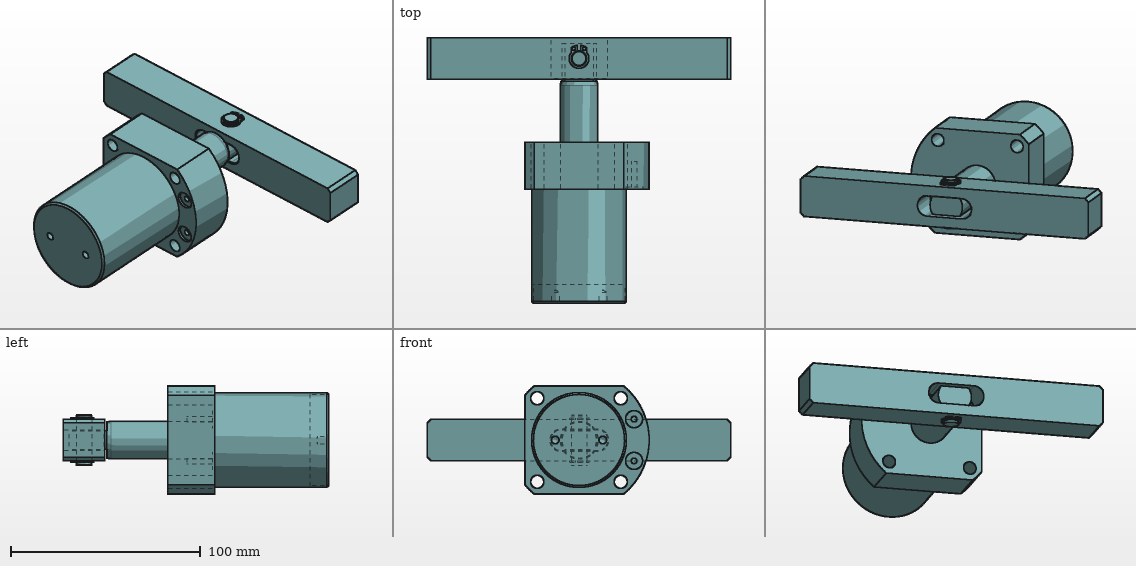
import cadquery as cq
import math


flange_height = 57.0
flange_thickness = 25.0
flange_radius = 37.0
barrel_diameter = 50.0
barrel_length = 60.0
barrel_chamfer = 1.0

bolt_hole_diameter = 6.8
bolt_hole_offset = 22.0
port_x = 29.0
port_z = 11.0
port_seat_diameter = 9.0
port_seat_depth = 1.5
port_diameter = 3.0
port_depth = 15.0

cap_thickness = 10.0
spanner_hole_diameter = 4.0
spanner_hole_offset = 12.5
spanner_hole_depth = 6.0
drill_point_angle = 118.0

rod_diameter = 20.0
rod_extension = 33.0
rod_shoulder_gap = 1.0
rod_taper_length = 2.0
rod_taper_depth = 0.5
tang_diameter = 18.0
tang_thickness = 10.0
tang_beyond_pin = 8.0

bar_length = 160.0
bar_width = 22.0
bar_chamfer = 2.0
slot_length = 30.0
slot_height = 11.0
slot_chamfer = 0.5

pin_diameter = 8.0
pin_length = 26.4
pin_end_chamfer = 0.3
ring_thickness = 0.8
ring_inner_diameter = 7.6
ring_outer_diameter = 10.4
lug_radius = 7.0
lug_outer_x = 4.2
lug_hole_diameter = 1.8
lug_hole_x = 2.8
lug_hole_y = 5.2
ring_gap = 1.6

barrel_end_y = -barrel_length
bar_front_y = flange_thickness + rod_extension
pin_y = bar_front_y + bar_width / 2
rod_tip_y = bar_front_y - rod_shoulder_gap
tang_end_y = pin_y + tang_beyond_pin
cap_diameter = barrel_diameter - 2 * barrel_chamfer
ring_start_heights = (bar_width / 2, -bar_width / 2 - ring_thickness)


def rod_along_y(diameter, start_y, end_y, x=0.0, z=0.0):
    """Round bar parallel to Y between two Y positions."""
    return cq.Workplane(
        cq.Solid.makeCylinder(
            diameter / 2, end_y - start_y, cq.Vector(x, start_y, z), cq.Vector(0, 1, 0)
        )
    )


def rod_along_z(diameter, start_z, end_z):
    """Round bar parallel to Z on the pin axis."""
    return cq.Workplane("XY", origin=(0, pin_y, start_z)).circle(diameter / 2).extrude(end_z - start_z)


def make_flange():
    """Disc trimmed flat at the top, the bottom and the -X side."""
    disc = rod_along_y(2 * flange_radius, 0, flange_thickness)
    trim_length = flange_height / 2 + flange_radius
    trim = (
        cq.Workplane("XY")
        .box(trim_length, flange_thickness, flange_height, centered=(False, False, True))
        .translate((-flange_height / 2, 0, 0))
    )
    return disc.intersect(trim)


def make_housing():
    barrel = rod_along_y(barrel_diameter, barrel_end_y, 0).faces("<Y").chamfer(barrel_chamfer)
    housing = make_flange().union(barrel)
    for x in (-bolt_hole_offset, bolt_hole_offset):
        for z in (-bolt_hole_offset, bolt_hole_offset):
            housing = housing.cut(rod_along_y(bolt_hole_diameter, 0, flange_thickness, x, z))
    for z in (-port_z, port_z):
        housing = housing.cut(rod_along_y(port_seat_diameter, 0, port_seat_depth, port_x, z))
        housing = housing.cut(rod_along_y(port_diameter, 0, port_depth, port_x, z))
    housing = housing.cut(rod_along_y(cap_diameter, barrel_end_y, barrel_end_y + cap_thickness))
    return housing.cut(rod_along_y(rod_diameter, 0, flange_thickness))


def make_end_cap():
    """Flush disc with two drilled holes for a pin spanner."""
    cap = rod_along_y(cap_diameter, barrel_end_y, barrel_end_y + cap_thickness)
    hole_radius = spanner_hole_diameter / 2
    hole_bottom_y = barrel_end_y + spanner_hole_depth
    point_length = hole_radius / math.tan(math.radians(drill_point_angle / 2))
    for x in (-spanner_hole_offset, spanner_hole_offset):
        cap = cap.cut(rod_along_y(spanner_hole_diameter, barrel_end_y, hole_bottom_y, x))
        drill_point = cq.Solid.makeCone(
            hole_radius, 0, point_length, cq.Vector(x, hole_bottom_y, 0), cq.Vector(0, 1, 0)
        )
        cap = cap.cut(cq.Workplane(drill_point))
    return cap


def make_rod():
    """Revolved rod with a tapered tip and a flattened tang for the pin."""
    radius = rod_diameter / 2
    shaft = (
        cq.Workplane("XY")
        .lineTo(radius, 0)
        .lineTo(radius, rod_tip_y - rod_taper_length)
        .lineTo(radius - rod_taper_depth, rod_tip_y)
        .lineTo(0, rod_tip_y)
        .close()
        .revolve(360, (0, 0, 0), (0, 1, 0))
    )
    tang_middle_y = (rod_tip_y + tang_end_y) / 2
    flats = (
        cq.Workplane("XY")
        .box(tang_diameter, tang_end_y - rod_tip_y, tang_thickness)
        .translate((0, tang_middle_y, 0))
    )
    tang = rod_along_y(tang_diameter, rod_tip_y, tang_end_y).intersect(flats)
    pin_hole = rod_along_z(pin_diameter, -tang_thickness / 2, tang_thickness / 2)
    return shaft.union(tang).cut(pin_hole)


def make_crossbar():
    """Square bar with bevelled ends and a bevelled, round-ended slot for the tang."""
    bar = (
        cq.Workplane("XY")
        .box(bar_length, bar_width, bar_width)
        .edges("|Y")
        .chamfer(bar_chamfer)
        .translate((0, pin_y, 0))
    )
    slot = (
        cq.Workplane("XZ", origin=(0, bar_front_y, 0))
        .slot2D(slot_length, slot_height)
        .extrude(-bar_width)
    )
    bevel = (
        cq.Workplane("XZ", origin=(0, bar_front_y, 0))
        .slot2D(slot_length + 2 * slot_chamfer, slot_height + 2 * slot_chamfer)
        .extrude(-slot_chamfer, taper=45)
    )
    return bar.cut(slot).cut(bevel).cut(rod_along_z(pin_diameter, -bar_width / 2, bar_width / 2))


def make_pin():
    """Pin with a groove just outside each side of the crossbar."""
    pin = rod_along_z(pin_diameter, -pin_length / 2, pin_length / 2)
    pin = pin.faces(">Z").chamfer(pin_end_chamfer)
    for start_z in ring_start_heights:
        end_z = start_z + ring_thickness
        groove = rod_along_z(pin_diameter, start_z, end_z)
        groove = groove.cut(rod_along_z(ring_inner_diameter, start_z, end_z))
        pin = pin.cut(groove)
    return pin


def make_retaining_ring(start_z):
    """Open ring with two drilled lugs that face +Y."""
    base = cq.Workplane("XY", origin=(0, pin_y, start_z))
    lugs = base.circle(lug_radius).extrude(ring_thickness)
    lug_side = base.center(0, lug_radius / 2)
    lug_zone = lug_side.rect(2 * lug_outer_x, lug_radius).extrude(ring_thickness)
    ring = base.circle(ring_outer_diameter / 2).extrude(ring_thickness)
    ring = ring.union(lugs.intersect(lug_zone))
    bore = base.circle(ring_inner_diameter / 2).extrude(ring_thickness)
    gap = lug_side.rect(ring_gap, lug_radius).extrude(ring_thickness)
    lug_holes = (
        base.pushPoints([(-lug_hole_x, lug_hole_y), (lug_hole_x, lug_hole_y)])
        .circle(lug_hole_diameter / 2)
        .extrude(ring_thickness)
    )
    return ring.cut(bore).cut(gap).cut(lug_holes)


housing = make_housing()
end_cap = make_end_cap()
rod = make_rod()
crossbar = make_crossbar()
pin = make_pin()
retaining_rings = [make_retaining_ring(start_z) for start_z in ring_start_heights]

result = cq.Compound.makeCompound(
    [
        housing.val(),
        end_cap.val(),
        rod.val(),
        crossbar.val(),
        pin.val(),
        *[ring.val() for ring in retaining_rings],
    ]
)